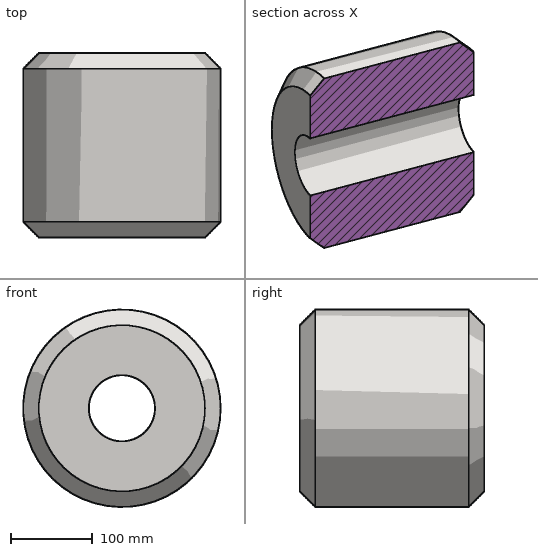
import cadquery as cq

outer_diameter = 242.06
length = 226.06
bore_diameter = 80.7
chamfer_size = 19.3


def cylinder_along_y(diameter):
    """Full-length cylinder on the Y axis, centred on the origin."""
    end_plane = cq.Workplane("XZ", origin=(0, length / 2, 0))
    return end_plane.circle(diameter / 2).extrude(length)


def roller_body():
    """Solid cylinder with 45 degree chamfers on both end rims."""
    return cylinder_along_y(outer_diameter).edges("%CIRCLE").chamfer(chamfer_size)


through_bore = cylinder_along_y(bore_diameter)
result = roller_body().cut(through_bore)